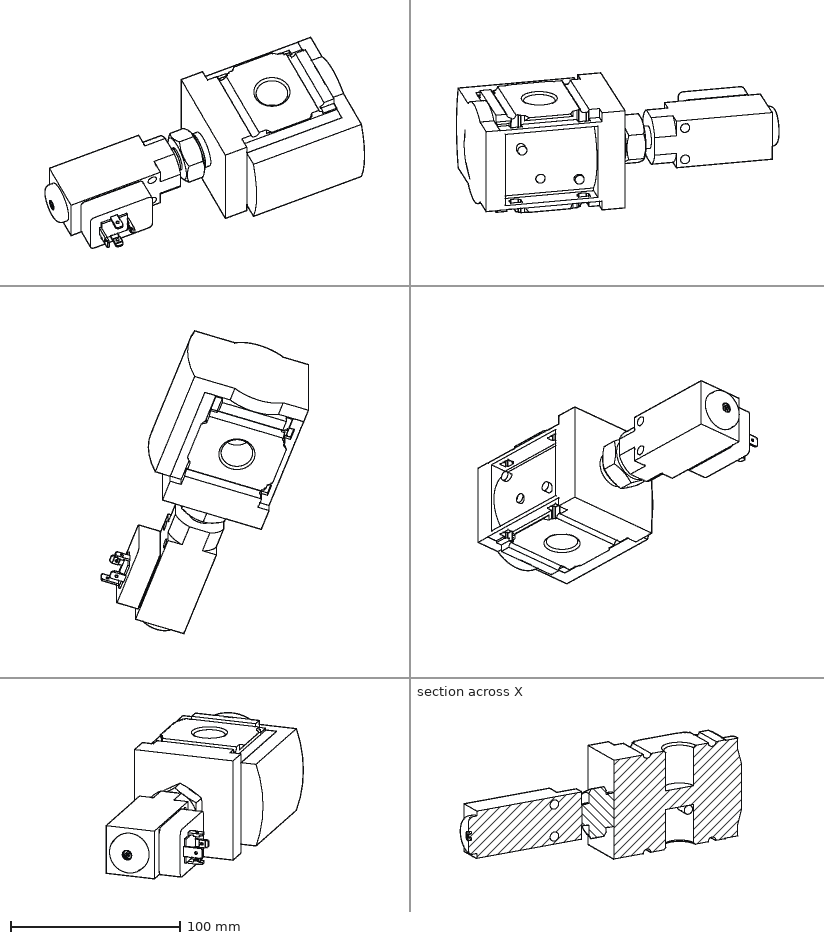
import cadquery as cq
import math


HOUSING_SIZE = 62.0
HALF = HOUSING_SIZE / 2
BLOCK_LENGTH = 14.0
PLATE_INNER_Y = 76.0
HOUSING_LENGTH = 84.5
SHELL_HALF_HEIGHT = 25.5
PANEL_STEP = 0.15
CORE_HALF_WIDTH = 24.1
PORT_Y = 44.8

PORT_DIAMETER = 18.63
PORT_MOUTH_DIAMETER = 21.35
PORT_DEPTH = 25.0

GROOVE_DIAMETER = 5.0
GROOVE_OFFSET = 22.1

CORNER_NOTCH_WIDTH = 4.0
CORNER_NOTCH_START_Y = PORT_Y + GROOVE_OFFSET
CORNER_NOTCH_Z = 26.6

RAIL_LENGTH = 29.6
RAIL_REACH = 2.6
RAIL_END_TAPER = 2.4
RAIL_NOSE_Z = 30.2
RAIL_BOTTOM_Z = 27.5

SLOT_LENGTH = 7.2
SLOT_NECK_LENGTH = 4.6
SLOT_OUTER_X = -27.7
SLOT_SHOULDER_X = -23.4
SLOT_INNER_X = -22.3
SLOT_CENTRES_Y = (PORT_Y + 20.5, PORT_Y - 20.8)

WINDOW_START_Y = 16.6
WINDOW_END_Y = 72.8
WINDOW_HALF_HEIGHT = 22.7
DRUM_RADIUS = 29.0
DRUM_HALF_HEIGHT = 21.0
DRUM_EDGE_X = -math.sqrt(DRUM_RADIUS**2 - DRUM_HALF_HEIGHT**2)
STUD_DIAMETER = 5.6
STUD_TIPS = ((-30.0, 62.3, 11.0), (-28.5, 50.8, -8.6), (-29.5, 27.3, -11.0))

COVER_EDGE_X = 40.4
COVER_APEX_X = 44.8

PLATE_CREST_HALF_WIDTH = 15.15
PLATE_CREST_Z = 30.75
HUB_BASE_DIAMETER = 46.8
HUB_TOP_DIAMETER = 29.0
HUB_HEIGHT = 2.5

COLLAR_DIAMETER = 21.35
COLLAR_FRONT_Y = -3.4
NECK_DIAMETER = 20.9
HEX_ACROSS_FLATS = 27.0
HEX_FRONT_Y = -17.0
HEX_REAR_Y = -5.0
HEX_CHAMFER_HEIGHT = 1.5
HEX_CHAMFER_DIAMETER = 26.0
STEM_DIAMETER = 13.48
STEM_RING_DIAMETER = 13.86
STEM_RING_LENGTH = 1.0

COIL_REAR_Y = -21.8
COIL_FRONT_Y = -93.3
COIL_WIDTH = 30.4
COIL_HEIGHT = 29.8
COIL_SHOULDER_LENGTH = 13.2
COIL_SHOULDER_RADIUS = 16.2
CROSS_HOLE_DIAMETER = 5.5
CROSS_HOLE_Y = -40.3
CROSS_HOLE_Z = 10.0

CAP_DIAMETER = 23.8
CAP_FRONT_Y = -98.9
CAP_FILLET = 3.0
CAP_MOUTH_DIAMETER = 6.0
CAP_RECESS_DIAMETER = 5.3
CAP_RECESS_DEPTH = 2.0
CAP_PIN_DIAMETER = 2.46
CAP_PIN_TIP_Y = -99.2
PIN_SLOT_WIDTH = 0.5
PIN_SLOT_DEPTH = 0.6
PIN_SLOT_ANGLE = 45.0

SOCKET_INNER_X = 16.1
SOCKET_OUTER_X = 29.3
SOCKET_REAR_Y = -46.7
SOCKET_FRONT_Y = -87.3
SOCKET_EDGE_RADIUS = 3.0
GASKET_MARGIN = 1.7
TERMINAL_BASE_HEIGHT = 1.1
TERMINAL_BASE_REAR_Y = -63.5
TERMINAL_BASE_FRONT_Y = -80.3
TERMINAL_BASE_WIDTH = 15.0

BLADE_THICKNESS = 1.2
BLADE_TIP_CHAMFER = 0.8
CONTACT_WIDTH = 4.6
CONTACT_TIP_X = 38.3
CONTACT_RADIUS = 8.9
CONTACT_HOLE_X = 34.5
EARTH_WIDTH = 6.2
EARTH_TIP_X = 41.0
EARTH_HOLE_X = 37.1
BLADE_HOLE_DIAMETER = 1.65
BARB_START_X = 32.8
BARB_END_X = 36.5
BARB_HEIGHT = 0.7


def span_box(x_range, y_range, z_range):
    """Box between two limits on each axis."""
    size = [high - low for low, high in (x_range, y_range, z_range)]
    corner = (x_range[0], y_range[0], z_range[0])
    return cq.Workplane("XY").box(*size, centered=False).translate(corner)


def y_cylinder(diameter, y_start, y_end):
    """Cylinder on the valve axis between two Y positions."""
    workplane = cq.Workplane("XZ", origin=(0, y_start, 0))
    return workplane.circle(diameter / 2).extrude(y_start - y_end)


def both_z(shape):
    """A shape together with its mirror image below the XY plane."""
    return shape.union(shape.mirror("XY"))


def housing_shell():
    """Front block, side panels and end plate with the bulged side cover."""
    block = span_box((-HALF, HALF), (0, BLOCK_LENGTH), (-HALF, HALF))
    panel_half = SHELL_HALF_HEIGHT - PANEL_STEP
    panels = span_box((-HALF, HALF), (BLOCK_LENGTH, PLATE_INNER_Y), (-panel_half, panel_half))
    plate_z = (-SHELL_HALF_HEIGHT, SHELL_HALF_HEIGHT)
    plate = span_box((-HALF, HALF), (PLATE_INNER_Y, HOUSING_LENGTH), plate_z)
    cover = (
        cq.Workplane("XZ", origin=(0, HOUSING_LENGTH, 0))
        .moveTo(HALF, -SHELL_HALF_HEIGHT)
        .lineTo(COVER_EDGE_X, -SHELL_HALF_HEIGHT)
        .threePointArc((COVER_APEX_X, 0), (COVER_EDGE_X, SHELL_HALF_HEIGHT))
        .lineTo(HALF, SHELL_HALF_HEIGHT)
        .close()
        .extrude(HOUSING_LENGTH - BLOCK_LENGTH)
    )
    return block.union(panels).union(plate).union(cover)


def plate_crest():
    """Round crest rising above and below the end plate."""
    crest = (
        cq.Workplane("XZ", origin=(0, HOUSING_LENGTH, 0))
        .moveTo(-PLATE_CREST_HALF_WIDTH, 0)
        .lineTo(-PLATE_CREST_HALF_WIDTH, SHELL_HALF_HEIGHT)
        .threePointArc((0, PLATE_CREST_Z), (PLATE_CREST_HALF_WIDTH, SHELL_HALF_HEIGHT))
        .lineTo(PLATE_CREST_HALF_WIDTH, 0)
        .close()
        .extrude(HOUSING_LENGTH - PLATE_INNER_Y)
    )
    return both_z(crest)


def rear_hub():
    """Shallow truncated cone on the back of the end plate."""
    return (
        cq.Workplane("XY")
        .moveTo(0, HOUSING_LENGTH)
        .lineTo(HUB_BASE_DIAMETER / 2, HOUSING_LENGTH)
        .lineTo(HUB_TOP_DIAMETER / 2, HOUSING_LENGTH + HUB_HEIGHT)
        .lineTo(0, HOUSING_LENGTH + HUB_HEIGHT)
        .close()
        .revolve(360, (0, 0, 0), (0, 1, 0))
    )


def port_plates():
    """Core whose top and bottom faces carry the ports."""
    core = span_box((-CORE_HALF_WIDTH, CORE_HALF_WIDTH), (BLOCK_LENGTH, PLATE_INNER_Y), (-HALF, HALF))
    notch = span_box(
        (CORE_HALF_WIDTH - CORNER_NOTCH_WIDTH, CORE_HALF_WIDTH),
        (CORNER_NOTCH_START_Y, PLATE_INNER_Y),
        (CORNER_NOTCH_Z, HALF),
    )
    notches = both_z(notch.union(notch.mirror("YZ")))
    return core.cut(notches)


def clamping_rails():
    """Tapered rails with an undercut nose on both sides of the port plates."""
    nose_x = CORE_HALF_WIDTH + RAIL_REACH
    profile = (
        cq.Workplane("XZ", origin=(0, PORT_Y + RAIL_LENGTH / 2, 0))
        .moveTo(0, HALF)
        .lineTo(CORE_HALF_WIDTH, HALF)
        .lineTo(nose_x, RAIL_NOSE_Z)
        .lineTo(CORE_HALF_WIDTH, RAIL_BOTTOM_Z)
        .lineTo(0, RAIL_BOTTOM_Z)
        .close()
        .extrude(RAIL_LENGTH)
    )
    half_length = RAIL_LENGTH / 2
    plan = (
        cq.Workplane("XY")
        .moveTo(0, PORT_Y - half_length)
        .lineTo(CORE_HALF_WIDTH, PORT_Y - half_length)
        .lineTo(nose_x, PORT_Y - half_length + RAIL_END_TAPER)
        .lineTo(nose_x, PORT_Y + half_length - RAIL_END_TAPER)
        .lineTo(CORE_HALF_WIDTH, PORT_Y + half_length)
        .lineTo(0, PORT_Y + half_length)
        .close()
        .extrude(HALF)
    )
    rail = profile.intersect(plan)
    return both_z(rail.union(rail.mirror("YZ")))


def ports():
    """Blind ports in the top and bottom faces, each with a countersunk mouth."""
    mouth_depth = (PORT_MOUTH_DIAMETER - PORT_DIAMETER) / 2
    bore_radius = PORT_DIAMETER / 2
    port = (
        cq.Workplane("XZ", origin=(0, PORT_Y, 0))
        .moveTo(0, HALF)
        .lineTo(PORT_MOUTH_DIAMETER / 2, HALF)
        .lineTo(bore_radius, HALF - mouth_depth)
        .lineTo(bore_radius, HALF - PORT_DEPTH)
        .lineTo(0, HALF - PORT_DEPTH)
        .close()
        .revolve(360, (0, 0, 0), (0, 1, 0))
    )
    return both_z(port)


def seal_grooves():
    """Half-round grooves across the port plates on both sides of the port."""
    grooves = cq.Workplane("XY")
    for side in (-1, 1):
        groove = (
            cq.Workplane("YZ", origin=(-CORE_HALF_WIDTH, 0, 0))
            .center(PORT_Y + side * GROOVE_OFFSET, HALF)
            .circle(GROOVE_DIAMETER / 2)
            .extrude(2 * CORE_HALF_WIDTH)
        )
        grooves = grooves.union(groove)
    return both_z(grooves)


def clamp_slots():
    """Stepped slots running down from the port plates into the window."""
    slots = cq.Workplane("XY")
    neck_half = SLOT_NECK_LENGTH / 2
    for centre_y in SLOT_CENTRES_Y:
        body = span_box(
            (SLOT_OUTER_X, SLOT_SHOULDER_X),
            (centre_y - SLOT_LENGTH / 2, centre_y + SLOT_LENGTH / 2),
            (WINDOW_HALF_HEIGHT, HALF),
        )
        neck = span_box(
            (SLOT_SHOULDER_X, SLOT_INNER_X),
            (centre_y - neck_half, centre_y + neck_half),
            (WINDOW_HALF_HEIGHT, HALF),
        )
        slots = slots.union(body).union(neck)
    return both_z(slots)


def window():
    """Side window whose back wall is the convex drum."""
    return (
        cq.Workplane("XZ", origin=(0, WINDOW_END_Y, 0))
        .moveTo(-HALF, -WINDOW_HALF_HEIGHT)
        .lineTo(DRUM_EDGE_X, -WINDOW_HALF_HEIGHT)
        .lineTo(DRUM_EDGE_X, -DRUM_HALF_HEIGHT)
        .threePointArc((-DRUM_RADIUS, 0), (DRUM_EDGE_X, DRUM_HALF_HEIGHT))
        .lineTo(DRUM_EDGE_X, WINDOW_HALF_HEIGHT)
        .lineTo(-HALF, WINDOW_HALF_HEIGHT)
        .close()
        .extrude(WINDOW_END_Y - WINDOW_START_Y)
    )


def studs():
    """Round studs standing on the drum inside the window."""
    group = cq.Workplane("XY")
    for tip in STUD_TIPS:
        stud = cq.Workplane("YZ", origin=tip).circle(STUD_DIAMETER / 2).extrude(-tip[0])
        group = group.union(stud)
    return group


def make_housing():
    body = housing_shell().union(plate_crest()).union(rear_hub())
    body = body.union(port_plates()).union(clamping_rails())
    body = body.cut(ports()).cut(seal_grooves()).cut(clamp_slots()).cut(window())
    return body.union(studs())


def hexagon():
    """Hexagon with two corners pointing along Z and conically chamfered ends."""
    corner_diameter = HEX_ACROSS_FLATS / math.cos(math.pi / 6)
    length = HEX_REAR_Y - HEX_FRONT_Y
    prism = (
        cq.Workplane("XZ", origin=(0, HEX_REAR_Y, 0))
        .polygon(6, corner_diameter)
        .extrude(length)
        .rotate((0, 0, 0), (0, 1, 0), 30)
    )
    limit = (
        cq.Workplane("XY")
        .moveTo(0, HEX_FRONT_Y)
        .lineTo(HEX_CHAMFER_DIAMETER / 2, HEX_FRONT_Y)
        .lineTo(corner_diameter / 2, HEX_FRONT_Y + HEX_CHAMFER_HEIGHT)
        .lineTo(corner_diameter / 2, HEX_REAR_Y - HEX_CHAMFER_HEIGHT)
        .lineTo(HEX_CHAMFER_DIAMETER / 2, HEX_REAR_Y)
        .lineTo(0, HEX_REAR_Y)
        .close()
        .revolve(360, (0, 0, 0), (0, 1, 0))
    )
    return prism.intersect(limit)


def make_adapter():
    collar = y_cylinder(COLLAR_DIAMETER, 0, COLLAR_FRONT_Y)
    neck = y_cylinder(NECK_DIAMETER, COLLAR_FRONT_Y, HEX_REAR_Y)
    ring = y_cylinder(STEM_RING_DIAMETER, HEX_FRONT_Y, HEX_FRONT_Y - STEM_RING_LENGTH)
    stem = y_cylinder(STEM_DIAMETER, HEX_FRONT_Y, COIL_REAR_Y)
    return collar.union(neck).union(hexagon()).union(ring).union(stem)


def coil():
    """Rectangular coil with a rounded shoulder and two cross holes."""
    half_width = COIL_WIDTH / 2
    half_height = COIL_HEIGHT / 2
    shoulder_front_y = COIL_REAR_Y - COIL_SHOULDER_LENGTH
    x_range = (-half_width, half_width)
    z_range = (-half_height, half_height)
    main = span_box(x_range, (COIL_FRONT_Y, shoulder_front_y), z_range)
    shoulder = span_box(x_range, (shoulder_front_y, COIL_REAR_Y), z_range)
    shoulder = shoulder.intersect(y_cylinder(2 * COIL_SHOULDER_RADIUS, COIL_REAR_Y, shoulder_front_y))
    cross_holes = (
        cq.Workplane("YZ", origin=(-half_width, 0, 0))
        .pushPoints([(CROSS_HOLE_Y, CROSS_HOLE_Z), (CROSS_HOLE_Y, -CROSS_HOLE_Z)])
        .circle(CROSS_HOLE_DIAMETER / 2)
        .extrude(COIL_WIDTH)
    )
    return main.union(shoulder).cut(cross_holes)


def end_cap():
    """Rounded front cap with a chamfered recess and a small slotted centre pin."""
    recess_floor_y = CAP_FRONT_Y + CAP_RECESS_DEPTH
    cap = y_cylinder(CAP_DIAMETER, COIL_FRONT_Y, CAP_FRONT_Y).faces("<Y").edges().fillet(CAP_FILLET)
    recess = y_cylinder(CAP_RECESS_DIAMETER, recess_floor_y, CAP_FRONT_Y)
    mouth_chamfer = (CAP_MOUTH_DIAMETER - CAP_RECESS_DIAMETER) / 2
    recess_rim = cq.selectors.RadiusNthSelector(0)
    cap = cap.cut(recess).faces("<Y").edges(recess_rim).chamfer(mouth_chamfer)
    slot = span_box(
        (-CAP_PIN_DIAMETER, CAP_PIN_DIAMETER),
        (CAP_PIN_TIP_Y, CAP_PIN_TIP_Y + PIN_SLOT_DEPTH),
        (-PIN_SLOT_WIDTH / 2, PIN_SLOT_WIDTH / 2),
    )
    slot = slot.rotate((0, 0, 0), (0, 1, 0), -PIN_SLOT_ANGLE)
    pin = y_cylinder(CAP_PIN_DIAMETER, recess_floor_y, CAP_PIN_TIP_Y).cut(slot)
    return cap.union(pin)


def socket():
    """Connector housing on a slightly smaller gasket, with a raised terminal base."""
    half_height = COIL_HEIGHT / 2
    shell = span_box(
        (SOCKET_INNER_X, SOCKET_OUTER_X),
        (SOCKET_FRONT_Y, SOCKET_REAR_Y),
        (-half_height, half_height),
    )
    shell = shell.edges("|X").fillet(SOCKET_EDGE_RADIUS)
    gasket_half_height = half_height - GASKET_MARGIN
    gasket = span_box(
        (COIL_WIDTH / 2, SOCKET_INNER_X),
        (SOCKET_FRONT_Y + GASKET_MARGIN, SOCKET_REAR_Y - GASKET_MARGIN),
        (-gasket_half_height, gasket_half_height),
    )
    base = span_box(
        (SOCKET_OUTER_X, SOCKET_OUTER_X + TERMINAL_BASE_HEIGHT),
        (TERMINAL_BASE_FRONT_Y, TERMINAL_BASE_REAR_Y),
        (-TERMINAL_BASE_WIDTH / 2, TERMINAL_BASE_WIDTH / 2),
    )
    return shell.union(gasket).union(base)


def blade(width, tip_x, hole_x):
    """Flat terminal along X, centred on the X axis, with its thickness along Z."""
    half_thickness = BLADE_THICKNESS / 2
    plate = span_box((SOCKET_OUTER_X, tip_x), (-width / 2, width / 2), (-half_thickness, half_thickness))
    plate = plate.edges(">X and |Z").chamfer(BLADE_TIP_CHAMFER)
    hole = (
        cq.Workplane("XY", origin=(hole_x, 0, -half_thickness))
        .circle(BLADE_HOLE_DIAMETER / 2)
        .extrude(BLADE_THICKNESS)
    )
    return plate.cut(hole)


def contact():
    """Contact blade at its radius from the terminal axis, thickened on its inner face."""
    inner_z = -BLADE_THICKNESS / 2
    barb = span_box(
        (BARB_START_X, BARB_END_X),
        (-CONTACT_WIDTH / 2, CONTACT_WIDTH / 2),
        (inner_z - BARB_HEIGHT, inner_z),
    )
    hole = cq.Workplane("XY", origin=(CONTACT_HOLE_X, 0, inner_z - BARB_HEIGHT))
    hole = hole.circle(BLADE_HOLE_DIAMETER / 2).extrude(BARB_HEIGHT)
    body = blade(CONTACT_WIDTH, CONTACT_TIP_X, CONTACT_HOLE_X).union(barb.cut(hole))
    return body.translate((0, 0, CONTACT_RADIUS))


def terminals():
    """Three contacts and the longer earth blade around the terminal axis."""
    axis_start = (0, 0, 0)
    axis_end = (1, 0, 0)
    earth = blade(EARTH_WIDTH, EARTH_TIP_X, EARTH_HOLE_X).translate((0, 0, CONTACT_RADIUS))
    group = earth.rotate(axis_start, axis_end, 90)
    for angle in (0, 180, 270):
        group = group.union(contact().rotate(axis_start, axis_end, angle))
    terminal_axis_y = (TERMINAL_BASE_REAR_Y + TERMINAL_BASE_FRONT_Y) / 2
    return group.translate((0, terminal_axis_y, 0))


def make_solenoid():
    return coil().union(end_cap()).union(socket()).union(terminals())


housing = make_housing()
adapter = make_adapter()
solenoid = make_solenoid()

result = cq.Compound.makeCompound([*housing.solids().vals(), *adapter.solids().vals(), *solenoid.solids().vals()])